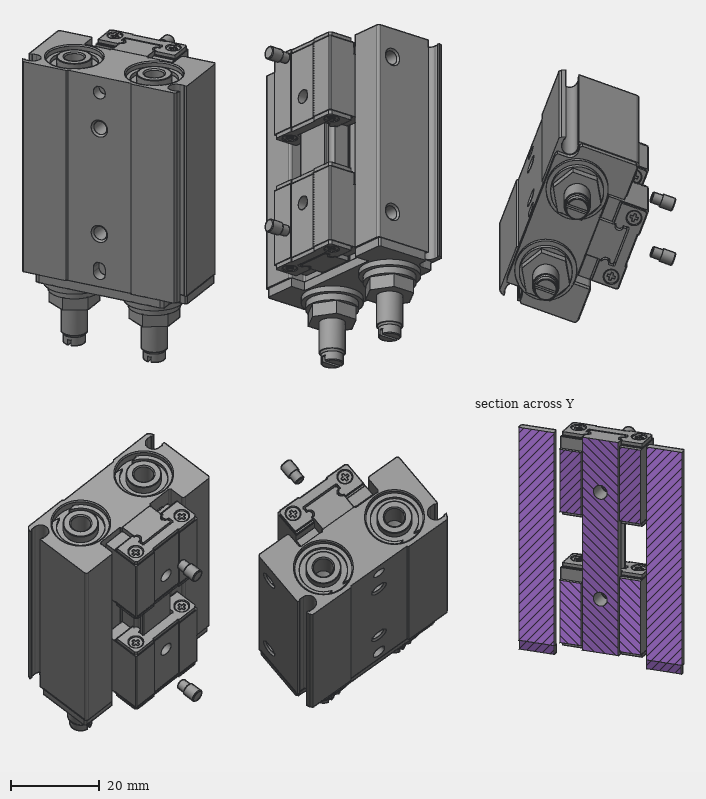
import cadquery as cq
import math

joint_overlap = 0.035

overall_height = 70.5
housing_width = 40.0
housing_half_width = housing_width / 2
housing_height = 51.95
rear_face_y = 19.2
rear_fillet = 0.6
channel_half_width = 11.3
channel_floor_y = 14.95
channel_fillet = 0.4
rail_seat_half_width = 4.8
front_recess_half_width = 8.25
front_recess_depth = 0.35
front_recess_slope = 0.3

groove_center_y = 2.95
groove_radius = 1.8
groove_center_x = 18.2
groove_mouth_half = 1.6
groove_mouth_depth = 0.7
lip_bend_inset = 0.35
lip_bend_y = 0.5
lip_front_inset = 0.85

rod_x = 10.15
rod_y = 7.75
bore_d = 13.0
bore_depth = 2.1
bore_chamfer = 0.3
ring_inner_d = 10.9
ring_top_depth = 1.3
ring_gap_inner_x = 1.55
ring_gap_inner_y = -5.2
ring_gap_outer_x = 3.2
ring_gap_outer_y = -5.6
rod_d = 8.0
rod_chamfer = 0.15
rod_hole_d = 4.5
rod_hole_mouth_d = 5.1
rod_hole_depth = 7.05

through_d = 3.25
through_mouth_d = 4.15
through_z = (13.1, 39.1)
dowel_d = 3.0
dowel_depth = 2.8
dowel_hole_z = 48.0
dowel_slot_z = 3.95
dowel_slot_length = 4.15
port_d = 3.25
port_mouth_d = 4.15
port_y = 15.1
port_z = (7.05, 45.0)
port_depth = 4.9
drill_half_angle = 59

rail_half_width = 4.45
rail_base_y = 15.3
rail_top_y = 21.9
rail_corner = 0.2
ball_groove_radius = 1.0
ball_groove_y = 20.0

carriage_half_width = 9.95
carriage_length = 20.1
carriage_bottom_y = 15.5
carriage_top_y = 25.1
carriage_corner = 0.3
leg_inner_x = 4.65
throat_half_width = 4.85
throat_top_y = 22.35
throat_corner = 0.2
tongue_x = 4.8
tongue_radius = 0.85
top_relief_half_width = 4.0
top_relief_depth = 0.3
cap_thickness = 1.0
cap_inset = 0.2
cap_corner = 0.5
cap_bottom_y = 18.7
cap_backing_bottom_y = 18.25
cap_backing_thickness = 0.2
leg_relief_y = 18.05
leg_relief_length = 2.8
pad_x = 7.4
pad_width = 2.75
pad_end_inset = 4.2
screw_x = 7.4
screw_y = 22.5
screw_d = 3.6
screw_bevel = 0.2
cross_length = 1.8
cross_width = 0.55
cross_depth = 0.4

plate_half_width = 19.8
plate_thickness = 2.1
plate_front_y = 0.4
plate_rear_y = 18.75
plate_corner = 0.4
notch_radius = 2.0
notch_center_x = 18.2
notch_center_y = 3.0
notch_bevel_x = 15.4
notch_bevel_y = 0.7

neck_d = 11.8
neck_height = 0.2
flange_d = 14.0
flange_bottom = 3.7
collar_d = 12.0
collar_bottom = 5.3
nut_across_flats = 10.0
nut_bottom = 8.45
stud_d = 6.0
stud_bottom = 15.8
stud_cone_d = 5.5
stud_cone_bottom = 16.35
tip_d = 5.1
tip_bottom = overall_height - housing_height
tip_chamfer = 0.2
screwdriver_slot_width = 0.85
screwdriver_slot_depth = 1.4

pin_head_d = 3.0
pin_tail_d = 2.5
pin_start_y = 29.5
pin_step_y = 31.8
pin_end_y = 34.8
pin_chamfer = 0.2
pin_z = (4.9, 47.2)


def prism(workplane, z_low, z_high):
    """Extrude a closed XY outline between two heights."""
    return workplane.extrude(z_high - z_low).translate((0, 0, z_low))


def mirrored_outline(right_half):
    """Closed outline from its right half, listed from one end on the symmetry plane to the other."""
    left_half = [(-x, y) for x, y in reversed(right_half)]
    return cq.Workplane("XY").polyline(right_half + left_half).close()


def cylinder(diameter, z_low, z_high, x=0.0, y=0.0):
    return prism(cq.Workplane("XY").center(x, y).circle(diameter / 2), z_low, z_high)


def countersunk_hole(diameter, mouth_diameter, depth, pointed):
    """Hole cutter that starts at the origin and runs along +Z, with an optional drill point."""
    radius = diameter / 2
    mouth_radius = mouth_diameter / 2
    profile = [(0, 0), (mouth_radius, 0), (radius, mouth_radius - radius), (radius, depth)]
    if pointed:
        profile.append((0, depth + radius / math.tan(math.radians(drill_half_angle))))
    else:
        profile.append((0, depth))
    return cq.Workplane("XZ").polyline(profile).close().revolve(360, (0, 0, 0), (0, 1, 0))


def front_hole(diameter, mouth_diameter, z):
    """Cutter for a hole from the front recess through everything behind it."""
    hole = countersunk_hole(diameter, mouth_diameter, 2 * carriage_top_y, False)
    return hole.rotate((0, 0, 0), (1, 0, 0), -90).translate((0, front_recess_depth, z))


def housing_block():
    outline = mirrored_outline([
        (front_recess_half_width - front_recess_slope, front_recess_depth),
        (front_recess_half_width, 0),
        (housing_half_width - lip_front_inset, 0),
        (housing_half_width - lip_bend_inset, lip_bend_y),
        (housing_half_width, groove_center_y - groove_mouth_half),
        (housing_half_width, rear_face_y),
        (channel_half_width, rear_face_y),
        (channel_half_width, channel_floor_y),
        (rail_seat_half_width, channel_floor_y),
        (rail_seat_half_width, rail_base_y),
    ])
    block = prism(outline, 0, housing_height)
    block = block.faces(">Y").edges("|Z").fillet(rear_fillet)
    for side in (-1, 1):
        corner = cq.selectors.NearestToPointSelector(
            (side * channel_half_width, channel_floor_y, housing_height / 2))
        block = block.edges(corner).fillet(channel_fillet)
    return block


def side_groove(side):
    """Round-bottomed groove with a narrower mouth, on the side given by its sign."""
    inner_end = housing_half_width - groove_mouth_depth
    slot = (
        cq.Workplane("XY")
        .moveTo(side * inner_end, groove_center_y - groove_radius)
        .lineTo(side * groove_center_x, groove_center_y - groove_radius)
        .threePointArc(
            (side * (groove_center_x - groove_radius), groove_center_y),
            (side * groove_center_x, groove_center_y + groove_radius))
        .lineTo(side * inner_end, groove_center_y + groove_radius)
        .close()
    )
    mouth = (
        cq.Workplane("XY")
        .center(side * housing_half_width, groove_center_y)
        .rect(2 * groove_mouth_depth + joint_overlap, 2 * groove_mouth_half)
    )
    return prism(slot, 0, housing_height).union(prism(mouth, 0, housing_height))


def rod_bore():
    """Chamfered bore cutter centred on the Z axis, open at the top of the housing."""
    floor_z = housing_height - bore_depth
    radius = bore_d / 2
    profile = [
        (0, floor_z),
        (radius, floor_z),
        (radius, housing_height - bore_chamfer),
        (radius + bore_chamfer, housing_height),
        (0, housing_height),
    ]
    return cq.Workplane("XZ").polyline(profile).close().revolve(360, (0, 0, 0), (0, 1, 0))


def retaining_ring():
    """C-shaped ring against the bore wall, with its gap toward the front."""
    floor_z = housing_height - bore_depth - joint_overlap
    top_z = housing_height - ring_top_depth
    ring_section = cq.Workplane("XY").circle(bore_d / 2 + joint_overlap).circle(ring_inner_d / 2)
    ring = prism(ring_section, floor_z, top_z)
    gap = mirrored_outline([
        (ring_gap_inner_x, ring_gap_inner_y),
        (ring_gap_outer_x, ring_gap_outer_y),
        (ring_gap_outer_x, -bore_d),
    ])
    return ring.cut(prism(gap, floor_z, top_z))


def rod_end():
    rod = cylinder(rod_d, housing_height - bore_depth - joint_overlap, housing_height)
    return rod.faces(">Z").edges().chamfer(rod_chamfer)


def rod_hole():
    hole = countersunk_hole(rod_hole_d, rod_hole_mouth_d, rod_hole_depth, True)
    return hole.rotate((0, 0, 0), (1, 0, 0), 180).translate((0, 0, housing_height))


def dowel_holes():
    """Round locating hole near the top and a slotted one near the bottom of the front face."""
    face = cq.Workplane("XZ", origin=(0, front_recess_depth, 0))
    depth = -dowel_depth
    round_hole = face.center(0, dowel_hole_z).circle(dowel_d / 2).extrude(depth)
    slot = face.center(0, dowel_slot_z).slot2D(dowel_slot_length, dowel_d, 90).extrude(depth)
    return round_hole.union(slot)


def side_port(z):
    port = countersunk_hole(port_d, port_mouth_d, port_depth, True)
    return port.rotate((0, 0, 0), (0, 1, 0), 90).translate((-housing_half_width, port_y, z))


def make_housing():
    body = housing_block()
    for side in (-1, 1):
        place = (side * rod_x, rod_y, 0)
        body = body.cut(side_groove(side))
        body = body.cut(rod_bore().translate(place))
        body = body.union(retaining_ring().translate(place))
        body = body.union(rod_end().translate(place))
        body = body.cut(rod_hole().translate(place))
    body = body.cut(dowel_holes())
    for z in through_z:
        body = body.cut(front_hole(through_d, through_mouth_d, z))
    for z in port_z:
        body = body.cut(side_port(z))
    return body


def make_rail():
    outline = mirrored_outline([
        (rail_half_width, rail_base_y),
        (rail_half_width, rail_top_y - rail_corner),
        (rail_half_width - rail_corner, rail_top_y),
    ])
    rail = prism(outline, 0, housing_height)
    for side in (-1, 1):
        groove = cylinder(2 * ball_groove_radius, 0, housing_height, side * rail_half_width, ball_groove_y)
        rail = rail.cut(groove)
    for z in through_z:
        rail = rail.cut(front_hole(through_d, through_mouth_d, z))
    return rail


def saddle_outline(inset, corner, bottom_y):
    """Saddle outline around the rail; the outside is drawn in by the inset."""
    half_width = carriage_half_width - inset
    top_y = carriage_top_y - inset
    relief_y = top_y - top_relief_depth
    return mirrored_outline([
        (top_relief_half_width, relief_y),
        (top_relief_half_width, top_y),
        (half_width - corner, top_y),
        (half_width, top_y - corner),
        (half_width, bottom_y),
        (leg_inner_x, bottom_y),
        (leg_inner_x, ball_groove_y),
        (throat_half_width, ball_groove_y),
        (throat_half_width, throat_top_y - throat_corner),
        (throat_half_width - throat_corner, throat_top_y),
    ])


def saddle_prism(inset, corner, bottom_y, z_low, z_high):
    """Length of the saddle with a rounded tongue reaching into each groove of the rail."""
    saddle = prism(saddle_outline(inset, corner, bottom_y), z_low, z_high)
    for side in (-1, 1):
        tongue = cylinder(2 * tongue_radius, z_low, z_high, side * tongue_x, ball_groove_y)
        saddle = saddle.union(tongue)
    return saddle


def screw_recess():
    """Shallow dish with a cross-shaped drive below it, opening at the origin toward +Z."""
    dish = cq.Workplane("XY").circle(screw_d / 2).extrude(-screw_bevel, taper=45)
    arm = cross_length / 2
    half_arm = cross_width / 2
    cross_outline = mirrored_outline([
        (half_arm, -arm),
        (half_arm, -half_arm),
        (arm, -half_arm),
        (arm, half_arm),
        (half_arm, half_arm),
        (half_arm, arm),
    ])
    return dish.union(prism(cross_outline, -cross_depth, 0))


def end_cap():
    """Cap with its outer face at Z = cap_thickness and a thin, deeper backing at Z = 0."""
    cap = saddle_prism(cap_inset, cap_corner, cap_bottom_y, -joint_overlap, cap_thickness)
    backing = saddle_prism(
        cap_inset, cap_corner, cap_backing_bottom_y, -joint_overlap, cap_backing_thickness)
    cap = cap.union(backing)
    for side in (-1, 1):
        cap = cap.cut(screw_recess().translate((side * screw_x, screw_y, cap_thickness)))
    return cap


def leg_relief(z_top):
    """Cutter that shortens the upper end of the leg on the -X side."""
    relief = (
        cq.Workplane("XY")
        .center(-(carriage_half_width + leg_inner_x) / 2, (leg_relief_y + channel_floor_y) / 2)
        .rect(carriage_half_width - leg_inner_x, leg_relief_y - channel_floor_y)
    )
    return prism(relief, z_top - leg_relief_length, z_top)


def make_carriage(z_low):
    pad_half_length = carriage_length / 2 - pad_end_inset
    body_half_length = carriage_length / 2 - cap_thickness
    carriage = saddle_prism(0, carriage_corner, carriage_bottom_y, -body_half_length, body_half_length)
    for side in (-1, 1):
        pad = (
            cq.Workplane("XY")
            .center(side * pad_x, (channel_floor_y + carriage_bottom_y) / 2)
            .rect(pad_width, carriage_bottom_y - channel_floor_y)
        )
        carriage = carriage.union(prism(pad, -pad_half_length, pad_half_length))
    carriage = carriage.cut(leg_relief(body_half_length))
    upper_cap = end_cap().translate((0, 0, body_half_length))
    carriage = carriage.union(upper_cap).union(upper_cap.mirror("XY"))
    carriage = carriage.translate((0, 0, z_low + carriage_length / 2))
    for z in through_z:
        carriage = carriage.cut(front_hole(through_d, through_mouth_d, z))
    return carriage


def plate():
    """Flat plate with the rear channel of the housing and a notch at each front corner."""
    notch_top_y = notch_center_y + notch_radius
    notch_inner_x = notch_center_x - notch_radius
    diagonal = notch_radius * math.sqrt(0.5)
    half = (
        cq.Workplane("XY")
        .moveTo(0, plate_front_y)
        .lineTo(notch_bevel_x, plate_front_y)
        .lineTo(notch_inner_x, notch_bevel_y)
        .lineTo(notch_inner_x, notch_center_y)
        .threePointArc(
            (notch_center_x - diagonal, notch_center_y + diagonal),
            (notch_center_x, notch_top_y))
        .lineTo(plate_half_width - plate_corner, notch_top_y)
        .lineTo(plate_half_width, notch_top_y + plate_corner)
        .lineTo(plate_half_width, plate_rear_y - plate_corner)
        .lineTo(plate_half_width - plate_corner, plate_rear_y)
        .lineTo(channel_half_width, plate_rear_y)
        .lineTo(channel_half_width, channel_floor_y)
        .lineTo(0, channel_floor_y)
        .close()
    )
    right = prism(half, -plate_thickness, 0)
    return right.union(right.mirror("YZ"))


def adjuster():
    """Neck, flange, collar, nut and slotted stud, stacked downward on the Z axis."""
    flange_top = plate_thickness + neck_height
    neck = cylinder(neck_d, -flange_top, -plate_thickness)
    flange = cylinder(flange_d, -flange_bottom, -flange_top)
    collar = cylinder(collar_d, -collar_bottom, -flange_bottom)
    across_corners = nut_across_flats / math.cos(math.radians(30))
    nut_hexagon = cq.Workplane("XY").polygon(6, across_corners).extrude(nut_bottom - collar_bottom)
    nut = nut_hexagon.rotate((0, 0, 0), (0, 0, 1), 30).translate((0, 0, -nut_bottom))
    stud_profile = [
        (0, -nut_bottom),
        (stud_d / 2, -nut_bottom),
        (stud_d / 2, -stud_bottom),
        (stud_cone_d / 2, -stud_bottom),
        (tip_d / 2, -stud_cone_bottom),
        (tip_d / 2, -tip_bottom + tip_chamfer),
        (tip_d / 2 - tip_chamfer, -tip_bottom),
        (0, -tip_bottom),
    ]
    stud = cq.Workplane("XZ").polyline(stud_profile).close().revolve(360, (0, 0, 0), (0, 1, 0))
    slot = prism(
        cq.Workplane("XY").rect(screwdriver_slot_width, stud_d),
        -tip_bottom, screwdriver_slot_depth - tip_bottom)
    return neck.union(flange).union(collar).union(nut).union(stud).cut(slot)


def make_end_plate():
    body = plate()
    for side in (-1, 1):
        body = body.union(adjuster().translate((side * rod_x, rod_y, 0)))
    return body


def make_pin(z):
    """Stepped pin along Y, thinner toward the housing."""
    profile = [
        (0, pin_start_y),
        (pin_tail_d / 2 - pin_chamfer, pin_start_y),
        (pin_tail_d / 2, pin_start_y + pin_chamfer),
        (pin_tail_d / 2, pin_step_y),
        (pin_head_d / 2, pin_step_y),
        (pin_head_d / 2, pin_end_y - pin_chamfer),
        (pin_head_d / 2 - pin_chamfer, pin_end_y),
        (0, pin_end_y),
    ]
    pin = cq.Workplane("XY").polyline(profile).close().revolve(360, (0, 0, 0), (0, 1, 0))
    return pin.translate((0, 0, z))


housing = make_housing()
rail = make_rail()
end_plate = make_end_plate()
carriages = [make_carriage(z_low) for z_low in (0, housing_height - carriage_length)]
pins = [make_pin(z) for z in pin_z]

result = cq.Compound.makeCompound([
    housing.solids().val(),
    rail.solids().val(),
    end_plate.solids().val(),
    *[carriage.solids().val() for carriage in carriages],
    *[pin.solids().val() for pin in pins],
])